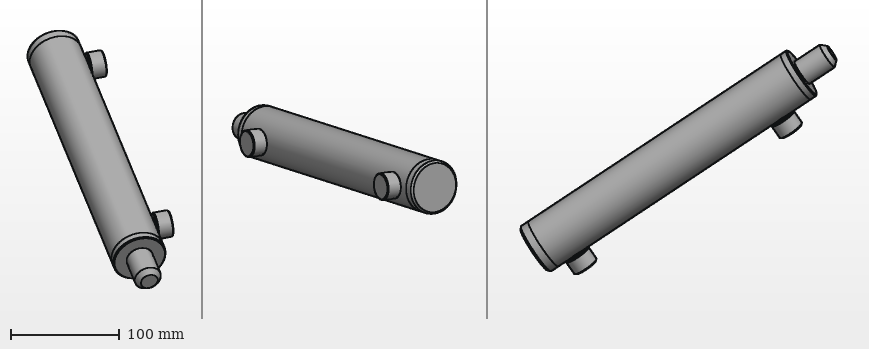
import cadquery as cq


body_diameter = 50.0
cap_length = 10.0
barrel_length = 280.0
gland_length = 7.0
cap_chamfer = 2.0
gland_chamfer = 1.0

rod_diameter = 25.0
rod_protrusion = 33.0
rod_tip_length = 5.0
rod_tip_step = 4.5

port_diameter = 25.0
port_length = 15.0
port_chamfer = 1.0
spigot_diameter = 17.0
port_positions = (30.0, 258.0)

barrel_start = cap_length
gland_start = barrel_start + barrel_length
gland_end = gland_start + gland_length
rod_end = gland_end + rod_protrusion

body_radius = body_diameter / 2
rod_radius = rod_diameter / 2


def axial_cylinder(start, end, diameter):
    """Cylinder on the X axis between two stations."""
    return cq.Workplane("YZ", origin=(start, 0, 0)).circle(diameter / 2).extrude(end - start)


def make_end_cap():
    """Solid cap closing the blind end, chamfered on its outer rim."""
    return axial_cylinder(0, barrel_start, body_diameter).faces("<X").chamfer(cap_chamfer)


def make_gland():
    """Ring at the rod end, chamfered on its outer rim and bored for the rod."""
    gland = axial_cylinder(gland_start, gland_end, body_diameter).faces(">X").chamfer(gland_chamfer)
    return gland.cut(axial_cylinder(gland_start, gland_end, rod_diameter))


def make_rod():
    """Rod passing through the gland, with a tapered tip."""
    return (
        cq.Workplane("XY")
        .moveTo(gland_start, 0)
        .lineTo(gland_start, rod_radius)
        .lineTo(rod_end - rod_tip_length, rod_radius)
        .lineTo(rod_end, rod_radius - rod_tip_step)
        .lineTo(rod_end, 0)
        .close()
        .revolve(360, (0, 0, 0), (1, 0, 0))
    )


def make_port(position):
    """Port boss on the +Y side, with a spigot that fits down onto the round barrel."""
    seat = cq.Workplane("XZ", origin=(position, body_radius, 0))
    boss = seat.circle(port_diameter / 2).extrude(-port_length).faces("<Y or >Y").chamfer(port_chamfer)
    spigot = seat.circle(spigot_diameter / 2).extrude(body_radius)
    return boss.union(spigot).cut(barrel)


end_cap = make_end_cap()
barrel = axial_cylinder(barrel_start, gland_start, body_diameter)
gland = make_gland()
rod = make_rod()
ports = [make_port(position) for position in port_positions]

result = cq.Compound.makeCompound(
    [end_cap.val(), barrel.val(), gland.val(), rod.val()] + [port.val() for port in ports]
)